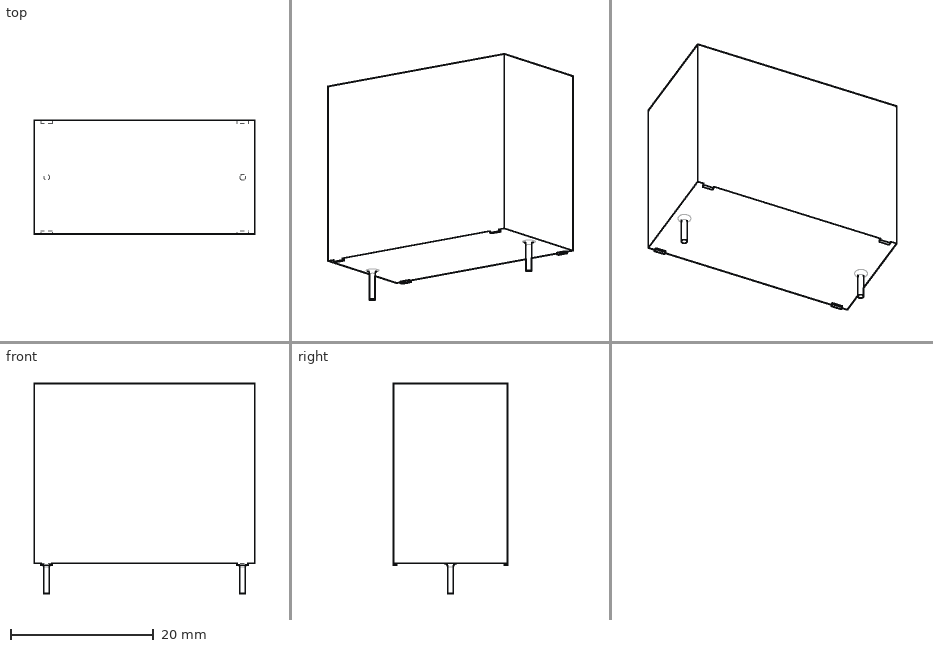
import cadquery as cq

body_length = 31.0
body_width = 16.0
total_height = 29.5
pin_drop = 4.25
body_height = total_height - pin_drop

pin_pitch = 27.5
pin_radius = 0.8 / 2
flare_radius = 0.5

foot_length = 1.55
foot_width = 0.45
foot_height = 0.25


def make_body():
    """Plain box with its underside at Z = 0."""
    return cq.Workplane("XY").box(
        body_length, body_width, body_height, centered=(True, True, False)
    )


def make_pin(x):
    """Round lead below the body, with a concave flare where it meets the underside."""
    root_radius = pin_radius + flare_radius
    flare_center = (root_radius, -flare_radius)
    diagonal = flare_radius * 0.5 ** 0.5
    flare_middle = (flare_center[0] - diagonal, flare_center[1] + diagonal)
    half_section = (
        cq.Workplane("XZ")
        .lineTo(root_radius, 0)
        .threePointArc(flare_middle, (pin_radius, -flare_radius))
        .lineTo(pin_radius, -pin_drop)
        .lineTo(0, -pin_drop)
        .close()
    )
    return half_section.revolve(360, (0, 0, 0), (0, 1, 0)).translate((x, 0, 0))


def make_foot(x, side):
    """Small block flush with the long side of the body at side = -1 or +1."""
    y = side * (body_width - foot_width) / 2
    foot = cq.Workplane("XY").box(foot_length, foot_width, foot_height)
    return foot.translate((x, y, -foot_height / 2))


result = make_body()
for pin_x in (-pin_pitch / 2, pin_pitch / 2):
    result = result.union(make_pin(pin_x))
    for side in (-1, 1):
        result = result.union(make_foot(pin_x, side))
result = result.clean()